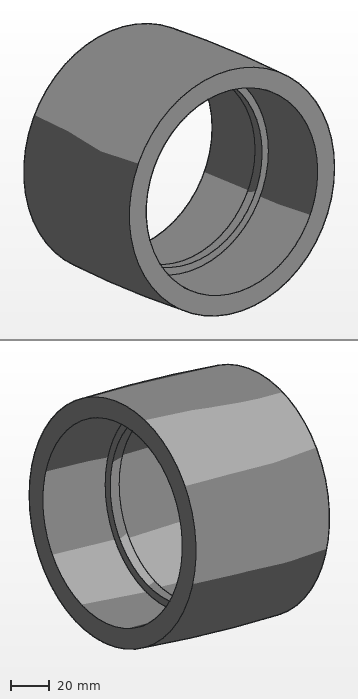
import cadquery as cq

length = 90.0
crown_diameter = 133.8
end_diameter = 131.8
socket_diameter = 110.0
stop_bore_diameter = 102.0
stop_width = 6.0

half_length = length / 2
socket_depth = (length - stop_width) / 2


def make_crowned_body():
    """Solid barrel: an arc profile revolved about the X axis."""
    profile = (
        cq.Workplane("XY")
        .moveTo(-half_length, 0)
        .lineTo(-half_length, end_diameter / 2)
        .threePointArc((0, crown_diameter / 2), (half_length, end_diameter / 2))
        .lineTo(half_length, 0)
        .close()
    )
    return profile.revolve(360, (0, 0, 0), (1, 0, 0))


def make_bore(diameter, start, depth):
    """Round cutter along X, beginning at x = start."""
    return cq.Workplane("YZ", origin=(start, 0, 0)).circle(diameter / 2).extrude(depth)


result = make_crowned_body().cut(make_bore(stop_bore_diameter, -half_length, length))

for socket_start in (-half_length, stop_width / 2):
    result = result.cut(make_bore(socket_diameter, socket_start, socket_depth))